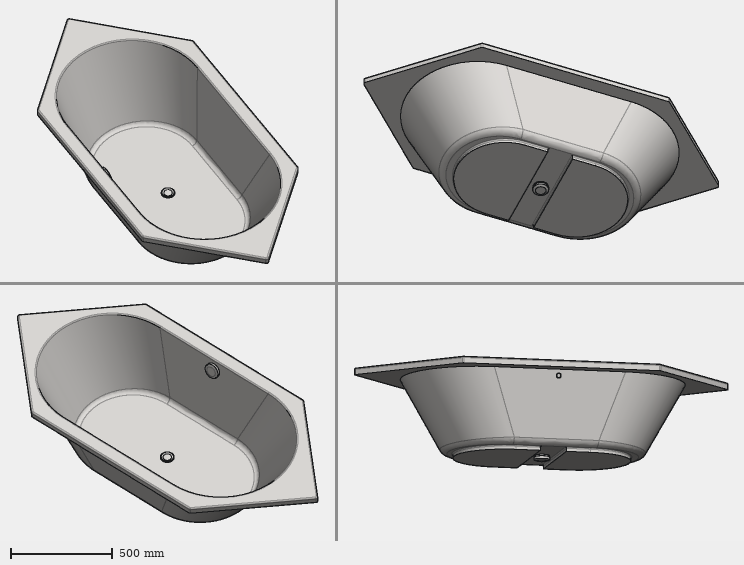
import cadquery as cq
import math

LENGTH = 1888.0
WIDTH = 900.0
HEIGHT = 427.0

RIM_THICKNESS = 34.0
RIM_CORNER_RADIUS = 11.0
RIM_EDGE_FILLET = 8.0
RIM_BOTTOM = HEIGHT - RIM_THICKNESS

BASIN_X = 8.0
FITTINGS_X = 2.8

FLOOR_TOP = 34.0
FLOOR_THICKNESS = 8.0
FLOOR_BOTTOM = FLOOR_TOP - FLOOR_THICKNESS
WALL_THICKNESS = 11.0
FLOOR_STRAIGHT = 412.0
FLOOR_RADIUS = 289.0
MOUTH_STRAIGHT = 687.0
MOUTH_RADIUS = 375.0
INNER_FILLET = 28.0
OUTER_FILLET = INNER_FILLET + WALL_THICKNESS
MOUTH_FILLET = 8.0

PAD_BOTTOM = 5.0
PAD_STRAIGHT = 378.0
PAD_RADIUS = 255.0
PAD_CHANNEL = 132.0
PAD_ROOT_FILLET = 5.0

CUP_DIAMETER = 80.0
CUP_FACE_DIAMETER = 53.0
CUP_EDGE_HEIGHT = 5.0
CUP_FLANGE_HEIGHT = 19.0
CUP_NECK_DIAMETER = 75.0
PLUG_DIAMETER = 68.0
PLUG_CROWN_DIAMETER = 60.0
PLUG_STEM_DIAMETER = 42.0
PLUG_STEM_LENGTH = 19.0
PLUG_EDGE_HEIGHT = 4.0
PLUG_CROWN_HEIGHT = 4.0

OVERFLOW_Z = 365.0
OVERFLOW_DIAMETER = CUP_DIAMETER
OVERFLOW_FACE_DIAMETER = CUP_FACE_DIAMETER
OVERFLOW_THICKNESS = 17.0
OVERFLOW_EDGE_HEIGHT = 4.0
TUBE_DIAMETER = 25.0
TUBE_BORE = 20.0
TUBE_BORE_DEPTH = 5.0

SELECT_MARGIN = 2.0

BASIN_DEPTH = HEIGHT - FLOOR_TOP
SIDE_SLOPE = (MOUTH_RADIUS - FLOOR_RADIUS) / BASIN_DEPTH
SIDE_ANGLE = math.atan(SIDE_SLOPE)


def stadium(plane, straight, radius):
    """Closed outline of two straight sides along X joined by half circles."""
    half = straight / 2
    return (
        plane.moveTo(-half, -radius)
        .lineTo(half, -radius)
        .threePointArc((half + radius, 0), (half, radius))
        .lineTo(-half, radius)
        .threePointArc((-half - radius, 0), (-half, -radius))
        .close()
    )


def basin_block(bottom, top, offset):
    """Solid with the basin's sloping sides, its outline grown by `offset`."""

    def size_at(z):
        share = (z - FLOOR_TOP) / BASIN_DEPTH
        straight = FLOOR_STRAIGHT + share * (MOUTH_STRAIGHT - FLOOR_STRAIGHT)
        radius = FLOOR_RADIUS + share * (MOUTH_RADIUS - FLOOR_RADIUS)
        return straight, radius + offset

    block = stadium(cq.Workplane("XY").workplane(offset=bottom), *size_at(bottom))
    block = stadium(block.workplane(offset=top - bottom), *size_at(top))
    return block.loft(ruled=True).translate((BASIN_X, 0, 0))


def make_rim():
    """Hexagonal slab with right-angled ends, whose rounded tips set the overall length."""
    half_width = WIDTH / 2
    tip = LENGTH / 2 + RIM_CORNER_RADIUS * (math.sqrt(2) - 1)
    side_end = tip - half_width
    corners = [
        (-tip, 0),
        (-side_end, -half_width),
        (side_end, -half_width),
        (tip, 0),
        (side_end, half_width),
        (-side_end, half_width),
    ]
    base = cq.Workplane("XY").workplane(offset=RIM_BOTTOM)
    slab = base.polyline(corners).close().extrude(RIM_THICKNESS)
    slab = slab.edges("|Z").fillet(RIM_CORNER_RADIUS)
    return slab.faces(">Z").edges().fillet(RIM_EDGE_FILLET)


def make_pads():
    """Two pads cut from one stadium by the drain channel."""
    base = cq.Workplane("XY").workplane(offset=PAD_BOTTOM)
    height = FLOOR_BOTTOM - PAD_BOTTOM
    pads = stadium(base, PAD_STRAIGHT, PAD_RADIUS).extrude(height)
    channel = base.rect(PAD_CHANNEL, WIDTH).extrude(height)
    return pads.cut(channel).translate((FITTINGS_X, 0, 0))


def edges_within(half_length, half_width, z):
    """Selector of the edges at height `z` that lie inside a centred rectangle."""
    return cq.selectors.BoxSelector(
        (-half_length, -half_width, z - SELECT_MARGIN),
        (half_length, half_width, z + SELECT_MARGIN),
        boundingbox=True,
    )


def make_tub():
    """Rim and basin shell in one piece, with the pads blended into the floor."""
    outside = basin_block(FLOOR_BOTTOM, RIM_BOTTOM + RIM_THICKNESS / 2, WALL_THICKNESS)
    outside = outside.faces("<Z").edges().fillet(OUTER_FILLET).union(make_pads())
    pad_width = PAD_RADIUS + SELECT_MARGIN
    pad_length = pad_width + PAD_STRAIGHT / 2 + FITTINGS_X
    outside = outside.edges(edges_within(pad_length, pad_width, FLOOR_BOTTOM)).fillet(PAD_ROOT_FILLET)

    cavity = basin_block(FLOOR_TOP, HEIGHT, 0).faces("<Z").edges().fillet(INNER_FILLET)
    tub = make_rim().union(outside).cut(cavity)
    mouth_width = MOUTH_RADIUS + SELECT_MARGIN
    mouth_length = mouth_width + MOUTH_STRAIGHT / 2 + BASIN_X
    return tub.edges(edges_within(mouth_length, mouth_width, HEIGHT)).fillet(MOUTH_FILLET)


def bevelled_disc(plane, diameter, face_diameter, height, edge_height):
    """Disc along the plane's normal whose free end narrows to a smaller flat face."""
    profile = [
        (0, 0),
        (diameter / 2, 0),
        (diameter / 2, height - edge_height),
        (face_diameter / 2, height),
        (0, height),
    ]
    disc = cq.Workplane("XZ").polyline(profile).close().revolve(360, (0, 0, 0), (0, 1, 0))
    return cq.Workplane(obj=disc.val().moved(plane.location))


def make_plug():
    """Plug with a bevelled edge, a conical crown and a short stem reaching down into the cup."""
    rim_top = FLOOR_TOP + PLUG_EDGE_HEIGHT
    crown_top = rim_top + PLUG_CROWN_HEIGHT
    stem_bottom = FLOOR_TOP - PLUG_STEM_LENGTH
    return (
        cq.Workplane("XZ")
        .moveTo(0, stem_bottom)
        .lineTo(PLUG_STEM_DIAMETER / 2, stem_bottom)
        .lineTo(PLUG_STEM_DIAMETER / 2, FLOOR_TOP)
        .lineTo(PLUG_DIAMETER / 2, FLOOR_TOP)
        .lineTo(PLUG_CROWN_DIAMETER / 2, rim_top)
        .lineTo(0, crown_top)
        .close()
        .revolve(360, (0, 0, 0), (0, 1, 0))
        .translate((FITTINGS_X, 0, 0))
    )


def make_cup():
    """Short neck under the floor with a bevelled flange below it."""
    downward = cq.Plane((FITTINGS_X, 0, CUP_FLANGE_HEIGHT), (1, 0, 0), (0, 0, -1))
    flange = bevelled_disc(downward, CUP_DIAMETER, CUP_FACE_DIAMETER, CUP_FLANGE_HEIGHT, CUP_EDGE_HEIGHT)
    neck_length = FLOOR_BOTTOM - CUP_FLANGE_HEIGHT
    neck = cq.Workplane(downward).circle(CUP_NECK_DIAMETER / 2).extrude(-neck_length)
    return flange.union(neck)


OVERFLOW_PLANE = cq.Plane(
    (FITTINGS_X, -(FLOOR_RADIUS + (OVERFLOW_Z - FLOOR_TOP) * SIDE_SLOPE), OVERFLOW_Z),
    (1, 0, 0),
    (0, 1, SIDE_SLOPE),
)
TUBE_LENGTH = WALL_THICKNESS * math.cos(SIDE_ANGLE)


def make_overflow():
    """Bevelled disc on the inner wall with a tube that ends flush with the outer wall."""
    disc = bevelled_disc(
        OVERFLOW_PLANE, OVERFLOW_DIAMETER, OVERFLOW_FACE_DIAMETER, OVERFLOW_THICKNESS, OVERFLOW_EDGE_HEIGHT
    )
    tube = cq.Workplane(OVERFLOW_PLANE).circle(TUBE_DIAMETER / 2).extrude(-TUBE_LENGTH)
    return disc.union(tube)


def make_overflow_bore():
    """Short blind bore in the outer end of the overflow tube."""
    outer_end = cq.Workplane(OVERFLOW_PLANE).workplane(offset=-TUBE_LENGTH)
    return outer_end.circle(TUBE_BORE / 2).extrude(TUBE_BORE_DEPTH)


plug = make_plug()
cup = make_cup()
overflow = make_overflow()
tub = make_tub().cut(cup).cut(plug).cut(overflow)
cup = cup.cut(plug)
overflow = overflow.cut(make_overflow_bore())
result = cq.Compound.makeCompound([tub.val(), cup.val(), plug.val(), overflow.val()])